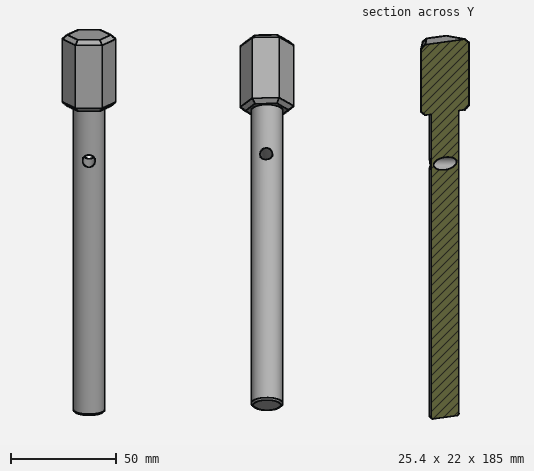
import cadquery as cq
import math

total_length = 185.0
head_height = 35.0
head_across_flats = 22.0
head_chamfer = 2.0
rod_diameter = 15.0
rod_end_chamfer = 1.0
hole_diameter = 6.0
hole_below_top = 60.0
hole_angle = 150.0

rod_length = total_length - head_height
head_across_corners = head_across_flats / math.cos(math.radians(30))
hole_height = total_length - hole_below_top
hole_cut_length = 2 * rod_diameter


def make_head():
    """Hexagonal head with corners on the X axis, chamfered at both ends."""
    head = cq.Workplane("XY").workplane(offset=rod_length)
    head = head.polygon(6, head_across_corners).extrude(head_height)
    return head.faces("<Z or >Z").chamfer(head_chamfer)


def make_rod():
    """Round rod with its lower end chamfered."""
    rod = cq.Workplane("XY").circle(rod_diameter / 2).extrude(rod_length)
    return rod.faces("<Z").chamfer(rod_end_chamfer)


def make_cross_hole():
    """Cutter for the cross hole through the rod axis, square to a pair of head flats."""
    angle = math.radians(hole_angle)
    hole_plane = cq.Plane(
        origin=(0, 0, hole_height),
        xDir=(0, 0, -1),
        normal=(math.cos(angle), math.sin(angle), 0),
    )
    cutter = cq.Workplane(hole_plane).workplane(offset=-hole_cut_length / 2)
    return cutter.circle(hole_diameter / 2).extrude(hole_cut_length)


result = make_rod().union(make_head()).cut(make_cross_hole())